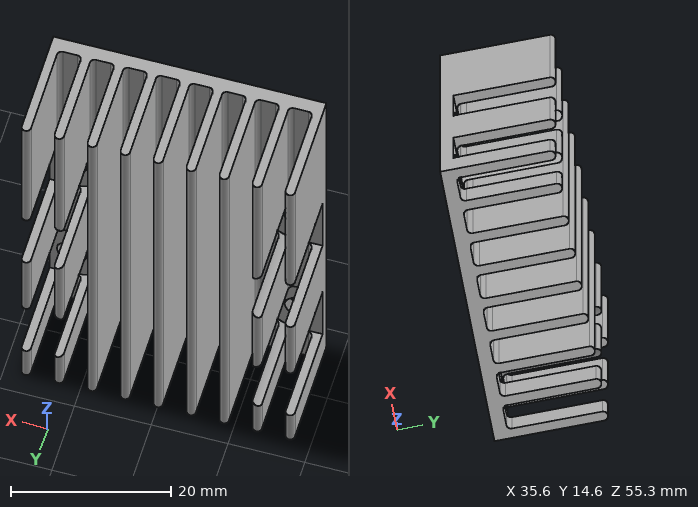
import cadquery as cq

width = 35.6
depth = 14.6
height = 55.25

base_thickness = 1.9
fin_count = 9
fin_thickness = 1.2
tip_radius = fin_thickness / 2
root_radius = 0.6
fin_pitch = (width - fin_thickness) / (fin_count - 1)

hole_diameter = 3.9
hole_spacing_x = 29.65
lower_hole_height = 10.2
hole_spacing_z = 20.0
slot_width = 9.5
slot_floor_thickness = 1.7

hole_offset_x = hole_spacing_x / 2
hole_edge_distance = width / 2 - hole_offset_x
hole_heights = [lower_hole_height, lower_hole_height + hole_spacing_z]


def make_base():
    """Flat plate with its outer face on y = 0 and its lower end on z = 0."""
    plate = cq.Workplane("XY").rect(width, base_thickness).extrude(height)
    return plate.translate((0, base_thickness / 2, 0))


def make_fins():
    """Evenly spaced fins with fully rounded tips, rooted in the base plate."""
    straight_top = depth - tip_radius
    fins = cq.Workplane("XY")
    for index in range(fin_count):
        left = -width / 2 + index * fin_pitch
        right = left + fin_thickness
        fins = (
            fins.moveTo(left, 0)
            .lineTo(right, 0)
            .lineTo(right, straight_top)
            .threePointArc((left + tip_radius, depth), (left, straight_top))
            .close()
        )
    return fins.extrude(height)


def round_fin_roots(body):
    """Fillet the inner corners where the fins meet the base."""
    margin = fin_thickness / 2
    root_zone = cq.selectors.BoxSelector(
        (-width / 2 + margin, base_thickness - margin, 0),
        (width / 2 - margin, base_thickness + margin, height),
    )
    return body.edges("|Z").edges(root_zone).fillet(root_radius)


def make_clearance_slot(side, z):
    """Slot with a round inner end about the hole axis, open at the side of the part."""
    slot_depth = depth - slot_floor_thickness
    round_end = cq.Workplane("XY").circle(slot_width / 2).extrude(slot_depth)
    open_end = (
        cq.Workplane("XY")
        .center(side * hole_edge_distance, 0)
        .rect(2 * hole_edge_distance, slot_width)
        .extrude(slot_depth)
    )
    slot = round_end.union(open_end).rotate((0, 0, 0), (1, 0, 0), -90)
    return slot.translate((side * hole_offset_x, slot_floor_thickness, z))


def make_hole(side, z):
    """Round hole running through the base plate along Y."""
    hole = cq.Workplane("XY").circle(hole_diameter / 2).extrude(base_thickness)
    return hole.rotate((0, 0, 0), (1, 0, 0), -90).translate((side * hole_offset_x, 0, z))


result = round_fin_roots(make_base().union(make_fins()))
for side in (-1, 1):
    for z in hole_heights:
        result = result.cut(make_clearance_slot(side, z))
        result = result.cut(make_hole(side, z))